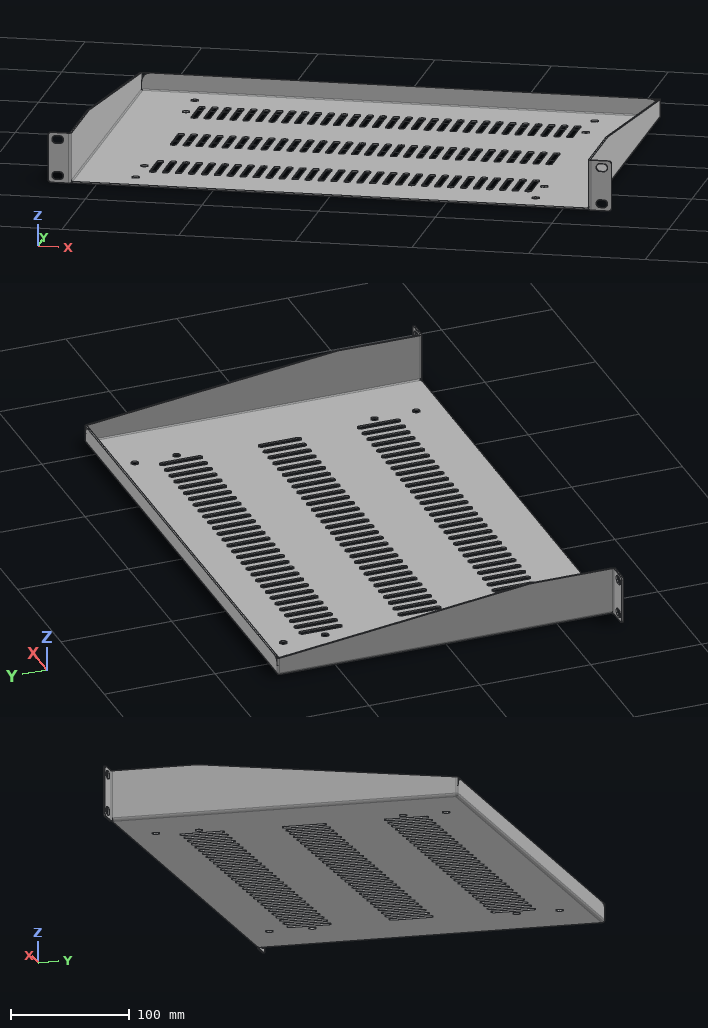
import cadquery as cq

width = 482.8
depth = 304.5
height = 43.5
thickness = 1.5
bend_inner = 1.0
bend_outer = bend_inner + thickness

tray_width = 446.0
rear_height = 16.5
side_flat_length = 76.8
rear_top_radius = 7.0
rear_corner_radius = 1.5

ear_corner_radius = 2.5
ear_slot_length = 9.5
ear_slot_width = 6.8
ear_slot_inset = 8.0
ear_slot_spacing = 31.5

vent_count = 30
vent_rows = 3
vent_pitch = 11.0
vent_length = 38.5
vent_width = 5.5
vent_row_spacing = 89.5
pattern_centre_y = 152.5

hole_diameter = 6.5
hole_spacing_x = 342.8
inner_hole_spacing_y = (vent_rows - 1) * vent_row_spacing
outer_hole_spacing_y = 254.0

half_tray = tray_width / 2
inner_half = half_tray - thickness
flange_start = half_tray + bend_inner


def make_tray():
    """Floor, sloping side walls and rear wall with rounded bends, open at the front."""
    outer = (
        cq.Workplane("XY")
        .rect(tray_width, depth)
        .extrude(height)
        .translate((0, depth / 2, 0))
        .edges("|Z and >Y").fillet(rear_corner_radius)
        .edges("<Z and (not <Y)").fillet(bend_outer)
    )
    cavity = (
        cq.Workplane("XY")
        .rect(2 * inner_half, depth)
        .extrude(height)
        .translate((0, depth / 2 - thickness, thickness))
        .edges("<Z and (not <Y)").fillet(bend_inner)
    )
    side_outline = (
        cq.Workplane("YZ")
        .polyline([
            (0, 0),
            (depth, 0),
            (depth, rear_height),
            (side_flat_length, height),
            (0, height),
        ])
        .close()
        .extrude(half_tray, both=True)
    )
    return outer.cut(cavity).intersect(side_outline)


def make_rear_corner_relief():
    """Waste that rounds the right-hand top corner of the rear wall next to the side wall."""
    return (
        cq.Workplane("XZ", origin=(0, depth, 0))
        .moveTo(inner_half, rear_height)
        .lineTo(inner_half - rear_top_radius, rear_height)
        .radiusArc((inner_half, rear_height - rear_top_radius), rear_top_radius)
        .close()
        .extrude(thickness)
    )


def make_front_trim():
    """Waste at the front: the floor edge steps back and the ear bends replace the wall ends."""
    floor_strip = (
        cq.Workplane("XY")
        .box(tray_width, thickness, height, centered=(True, False, False))
    )
    wall_end = (
        cq.Workplane("XY", origin=(inner_half, 0, 0))
        .box(thickness, bend_outer, height, centered=False)
    )
    return floor_strip.union(wall_end).union(wall_end.mirror("YZ"))


def make_ear():
    """Right-hand rack ear: a flange turned outwards from the front of the side wall."""
    flange = (
        cq.Workplane("XY", origin=(flange_start, 0, 0))
        .box(width / 2 - flange_start, thickness, height, centered=False)
        .edges("|Y and >X").fillet(ear_corner_radius)
    )
    bend = (
        cq.Workplane("XY")
        .moveTo(flange_start, 0)
        .radiusArc((inner_half, bend_outer), bend_outer)
        .lineTo(half_tray, bend_outer)
        .radiusArc((flange_start, thickness), -bend_inner)
        .close()
        .extrude(height)
    )
    slots = (
        cq.Workplane("XZ")
        .center(width / 2 - ear_slot_inset, height / 2)
        .rarray(5, ear_slot_spacing, 1, 2)
        .slot2D(ear_slot_length, ear_slot_width)
        .extrude(-thickness)
    )
    return flange.union(bend).cut(slots)


def make_floor_openings():
    """Three rows of ventilation slots and two rectangles of mounting holes."""
    pattern_plane = cq.Workplane("XY", origin=(0, pattern_centre_y, 0))
    openings = (
        pattern_plane
        .rarray(vent_pitch, vent_row_spacing, vent_count, vent_rows)
        .slot2D(vent_length, vent_width, 90)
        .extrude(thickness)
    )
    for spacing_y in (inner_hole_spacing_y, outer_hole_spacing_y):
        holes = (
            pattern_plane
            .rarray(hole_spacing_x, spacing_y, 2, 2)
            .circle(hole_diameter / 2)
            .extrude(thickness)
        )
        openings = openings.union(holes)
    return openings


relief = make_rear_corner_relief()
ear = make_ear()

result = (
    make_tray()
    .cut(relief)
    .cut(relief.mirror("YZ"))
    .cut(make_front_trim())
    .union(ear)
    .union(ear.mirror("YZ"))
    .cut(make_floor_openings())
)